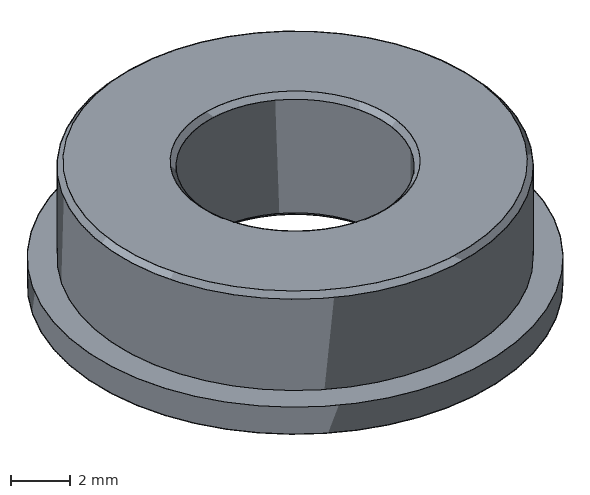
import cadquery as cq

flange_diameter = 18.0
flange_thickness = 1.1
body_diameter = 16.0
bore_diameter = 8.0
total_height = 5.0
edge_chamfer = 0.2


def flange():
    return cq.Workplane("XY").circle(flange_diameter / 2).extrude(flange_thickness)


def body():
    cylinder = cq.Workplane("XY").circle(body_diameter / 2).extrude(total_height)
    return cylinder.faces(">Z").edges().chamfer(edge_chamfer)


def bore():
    return cq.Workplane("XY").circle(bore_diameter / 2).extrude(total_height)


bored_part = flange().union(body()).cut(bore())

bore_edge = cq.selectors.RadiusNthSelector(0)
result = bored_part.faces(">Z").edges(bore_edge).chamfer(edge_chamfer)
result = result.faces("<Z").edges(bore_edge).chamfer(edge_chamfer)